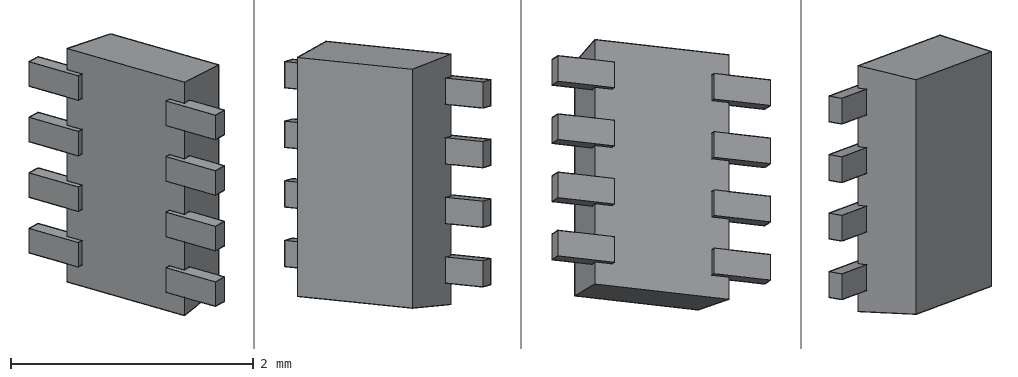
import cadquery as cq
import math

height = 2.1
lead_span = 1.9
overall_depth = 0.6

leads_per_side = 4
lead_pitch = 0.5
lead_length = 0.505
lead_thickness = 0.13
lead_height = 0.22
lead_standoff = 0.05

housing_width = 1.2
housing_depth = overall_depth - lead_standoff
draft_angle = 5.0
back_inset = housing_depth * math.tan(math.radians(draft_angle))


def make_lead(side, z_center):
    """Flat lead on the left (side = -1) or right (side = 1); its front face lies at Y = 0."""
    x_center = side * (lead_span - lead_length) / 2
    return (
        cq.Workplane("XY")
        .box(lead_length, lead_thickness, lead_height)
        .translate((x_center, lead_thickness / 2, z_center))
    )


def make_leads():
    """Two mirrored columns of evenly spaced leads, each a separate solid."""
    leads = []
    for side in (-1, 1):
        for index in range(leads_per_side):
            z_center = (index - (leads_per_side - 1) / 2) * lead_pitch
            leads.append(make_lead(side, z_center))
    return leads


def make_housing(leads):
    """Block tapering toward the back, with a matching recess for each lead."""
    housing = (
        cq.Workplane("XZ", origin=(0, lead_standoff, 0))
        .rect(housing_width, height)
        .workplane(offset=-housing_depth)
        .rect(housing_width - 2 * back_inset, height - 2 * back_inset)
        .loft(ruled=True)
    )
    for lead in leads:
        housing = housing.cut(lead)
    return housing


leads = make_leads()
housing = make_housing(leads)

result = cq.Compound.makeCompound([*housing.solids().vals(), *[lead.val() for lead in leads]])